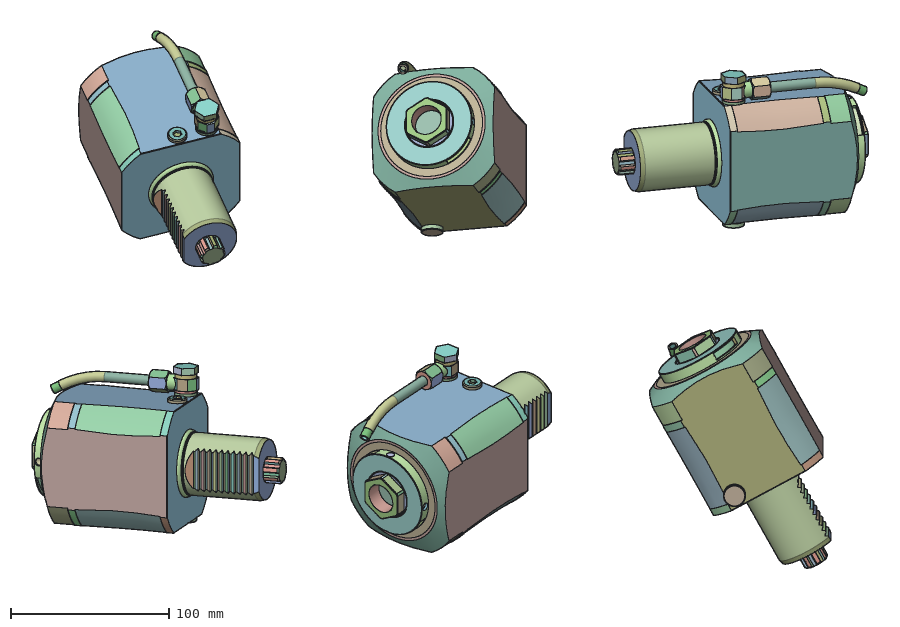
import cadquery as cq
import math


HOUSING_LENGTH = 86.4
HOUSING_WIDTH = 79.0
REAR_EDGE_CHAMFER = 0.4
NOSE_FACE_RADIUS = 35.0
NOSE_CONE_DEPTH = 6.2
FRONT_CORNER_RADIUS = 47.0
BAND_CORNER_RADIUS = 47.6
WAIST_END_RADIUS = 47.3
WAIST_MID_RADIUS = 46.6
FRONT_BAND_START = -66.6
FRONT_BAND_END = -61.7
REAR_BAND_START = -4.9

SHANK_RADIUS = 20.0
SHANK_END = 53.0
SHANK_CHAMFER_LENGTH = 3.0
SHANK_CHAMFER_ANGLE = 15.0
SHANK_CHAMFER_HEIGHT = SHANK_CHAMFER_LENGTH * math.tan(math.radians(SHANK_CHAMFER_ANGLE))
NECK_RADIUS = 19.4
NECK_END = 3.2
SHANK_START = 3.9
SEAL_WIDTH = 2.5
SEAL_RADIUS = 21.6
SEAL_MID_X = 1.5
SEAL_MID_RADIUS = 21.3
SEAL_END_RADIUS = 20.2

FLAT_DISTANCE = 15.9
RUNOUT_START = 5.1
FLAT_START = RUNOUT_START + SHANK_RADIUS - FLAT_DISTANCE
TOOTH_PITCH = 4.0
TOOTH_COUNT = 10
FIRST_TOOTH_X = 11.9
TOOTH_DEPTH = 1.5

TOP_PLUG_X = -7.0
TOP_PLUG_RADIUS = 6.1
TOP_PLUG_HEIGHT = 2.5
TOP_PLUG_CHAMFER = 0.7
TOP_PLUG_SOCKET = 5.0
TOP_PLUG_SOCKET_DEPTH = 2.0
PORT_X = -8.2
PORT_Y = 20.0
BOTTOM_PLUG_RADIUS = 7.0
BOTTOM_PLUG_HEIGHT = 3.0
BOTTOM_PLUG_CHAMFER = 0.5

COVER_RADIUS = 33.2
COVER_THICKNESS = 6.0
RING_RADIUS = 28.0
RING_WIDTH = 6.8
RING_CHAMFER = 0.4
RING_RECESS_RADIUS = 16.0
RING_RECESS_DEPTH = 1.0
RING_MID_X = -HOUSING_LENGTH - RING_WIDTH / 2
RING_FRONT_X = -HOUSING_LENGTH - RING_WIDTH
WRENCH_HOLE_RADIUS = 2.5
WRENCH_HOLE_DEPTH = 2.0
WRENCH_HOLE_TIP_DEPTH = 1.5
SPOT_DEPTH = 0.3
RING_SLOT_WIDTH = 4.7
RING_SLOT_FLOOR_RADIUS = 26.0
RING_SLOT_SPAN = 44.0
RING_SLOT_ANGLES = (-45, 135)
HEX_ACROSS_FLATS = 26.8
HEX_CORNER_RADIUS = 15.0
HEX_LENGTH = 6.4
HEX_CHAMFER = 0.5
NOSE_COLLAR_DEPTH = 0.3
NOSE_COLLAR_RADIUS = 15.4
NOSE_BORE_RADIUS = 9.6
NOSE_BORE_DEPTH = 10.0
SPLINE_RADIUS = 8.3
SPLINE_ROOT_RADIUS = 6.9
SPLINE_LENGTH = 10.4
SPLINE_END = SHANK_END + SPLINE_LENGTH
SPLINE_CHAMFER = 1.0
SPLINE_COUNT = 8
SPLINE_GAP_WIDTH = 4.2
SPLINE_ROOT_WIDTH = 2.0
SPLINE_FIRST_GAP = 9.5

WASHER_RADIUS = 7.2
WASHER_HEIGHT = 1.8
COLLAR_RADIUS = 6.9
COLLAR_BOTTOM_Z = HOUSING_WIDTH / 2 + WASHER_HEIGHT
BANJO_CENTER_Z = 46.8
BANJO_LENGTH = 16.0
BANJO_WIDTH = 14.0
BANJO_HEIGHT = 7.8
BANJO_CHAMFER = 4.6
BOLT_HEAD_BOTTOM_Z = 53.4
BOLT_HEAD_TOP_Z = 57.9
BOLT_HEAD_ACROSS_FLATS = 14.0
STUB_RADIUS = 5.2
NUT_ACROSS_FLATS = 12.5
NUT_CHAMFER = 1.0
NUT_FRONT_X = -31.2
NUT_REAR_X = -19.3
TUBE_RADIUS = 3.3
TUBE_BEND_X = -61.7
TUBE_BEND_RADIUS = 58.0
TUBE_BEND_ANGLE = 30.0
TUBE_TILT = 20.0
TIP_RADIUS = 3.1
TIP_LENGTH = 5.8
TIP_BORE_RADIUS = 2.0
TIP_BORE_DEPTH = 8.0


def x_cylinder(radius, start, end):
    """Cylinder on the spindle axis between two x positions."""
    return cq.Workplane("YZ", origin=(start, 0, 0)).circle(radius).extrude(end - start)


def corner_diameter_of(across_flats):
    """Corner-to-corner size of a hexagon."""
    return across_flats / math.cos(math.pi / 6)


def turned(outline):
    """Revolve a closed X-Y outline about the spindle axis."""
    return outline.close().revolve(360, (0, 0, 0), (1, 0, 0))


def build_block():
    """Square block with turned corners and a conical nose."""
    block = cq.Workplane("XY").box(HOUSING_LENGTH, HOUSING_WIDTH, HOUSING_WIDTH)
    block = block.translate((-HOUSING_LENGTH / 2, 0, 0)).faces(">X").chamfer(REAR_EDGE_CHAMFER)
    waist_mid = ((FRONT_BAND_END + REAR_BAND_START) / 2, WAIST_MID_RADIUS)
    envelope = turned(
        cq.Workplane("XY")
        .moveTo(-HOUSING_LENGTH, 0)
        .lineTo(-HOUSING_LENGTH, NOSE_FACE_RADIUS)
        .lineTo(NOSE_CONE_DEPTH - HOUSING_LENGTH, FRONT_CORNER_RADIUS)
        .lineTo(FRONT_BAND_START, FRONT_CORNER_RADIUS)
        .lineTo(FRONT_BAND_START, BAND_CORNER_RADIUS)
        .lineTo(FRONT_BAND_END, BAND_CORNER_RADIUS)
        .lineTo(FRONT_BAND_END, WAIST_END_RADIUS)
        .threePointArc(waist_mid, (REAR_BAND_START, WAIST_END_RADIUS))
        .lineTo(REAR_BAND_START, BAND_CORNER_RADIUS)
        .lineTo(0, BAND_CORNER_RADIUS)
        .lineTo(0, 0)
    )
    return block.intersect(envelope)


def build_shank():
    """Round shank with a seal at its root and a toothed flat on the -Y side."""
    shank = turned(
        cq.Workplane("XY")
        .moveTo(0, 0)
        .lineTo(0, NECK_RADIUS)
        .lineTo(NECK_END, NECK_RADIUS)
        .lineTo(SHANK_START, SHANK_RADIUS)
        .lineTo(SHANK_END - SHANK_CHAMFER_LENGTH, SHANK_RADIUS)
        .lineTo(SHANK_END, SHANK_RADIUS - SHANK_CHAMFER_HEIGHT)
        .lineTo(SHANK_END, 0)
    )
    flat_cut = (
        cq.Workplane("XY")
        .moveTo(RUNOUT_START, -SHANK_RADIUS)
        .lineTo(FLAT_START, -FLAT_DISTANCE)
        .lineTo(SHANK_END, -FLAT_DISTANCE)
        .lineTo(SHANK_END, -SHANK_RADIUS)
        .close()
        .extrude(SHANK_RADIUS, both=True)
    )
    shank = shank.cut(flat_cut)
    for index in range(TOOTH_COUNT):
        groove_x = FIRST_TOOTH_X + index * TOOTH_PITCH
        groove = (
            cq.Workplane("XY")
            .moveTo(groove_x - TOOTH_DEPTH, -FLAT_DISTANCE)
            .lineTo(groove_x, TOOTH_DEPTH - FLAT_DISTANCE)
            .lineTo(groove_x + TOOTH_DEPTH, -FLAT_DISTANCE)
            .close()
            .extrude(SHANK_RADIUS, both=True)
        )
        shank = shank.cut(groove)
    seal = turned(
        cq.Workplane("XY")
        .moveTo(0, 0)
        .lineTo(0, SEAL_RADIUS)
        .threePointArc((SEAL_MID_X, SEAL_MID_RADIUS), (SEAL_WIDTH, SEAL_END_RADIUS))
        .lineTo(SEAL_WIDTH, 0)
    )
    return shank.union(seal)


def build_top_plug():
    """Screw plug with a hexagon socket on the top face."""
    plug = (
        cq.Workplane("XY", origin=(TOP_PLUG_X, 0, HOUSING_WIDTH / 2))
        .circle(TOP_PLUG_RADIUS)
        .extrude(TOP_PLUG_HEIGHT)
    )
    plug = plug.faces(">Z").chamfer(TOP_PLUG_CHAMFER)
    socket = plug.faces(">Z").workplane().polygon(6, corner_diameter_of(TOP_PLUG_SOCKET))
    return socket.cutBlind(-TOP_PLUG_SOCKET_DEPTH)


def build_bottom_plug():
    """Round plug that closes the lower coolant port."""
    plug = (
        cq.Workplane("XY", origin=(PORT_X, PORT_Y, -HOUSING_WIDTH / 2))
        .circle(BOTTOM_PLUG_RADIUS)
        .extrude(-BOTTOM_PLUG_HEIGHT)
    )
    return plug.faces("<Z").chamfer(BOTTOM_PLUG_CHAMFER)


def build_housing():
    housing = build_block().union(build_shank()).union(build_top_plug()).union(build_bottom_plug())
    cover_seat = x_cylinder(COVER_RADIUS, -HOUSING_LENGTH, COVER_THICKNESS - HOUSING_LENGTH)
    spindle_bore = x_cylinder(SPLINE_RADIUS, -HOUSING_LENGTH, SHANK_END)
    return housing.cut(cover_seat).cut(spindle_bore)


def build_ring():
    """Nut ring with a wrench hole, a flat spot and two curved slots in its rim."""
    ring = x_cylinder(RING_RADIUS, RING_FRONT_X, -HOUSING_LENGTH).faces("<X").chamfer(RING_CHAMFER)
    recess = x_cylinder(RING_RECESS_RADIUS, RING_FRONT_X, RING_FRONT_X + RING_RECESS_DEPTH)
    ring = ring.cut(recess)
    tip_z = RING_RADIUS - WRENCH_HOLE_DEPTH - WRENCH_HOLE_TIP_DEPTH
    wrench_hole = (
        cq.Workplane("XZ", origin=(RING_MID_X, 0, 0))
        .moveTo(0, tip_z)
        .lineTo(WRENCH_HOLE_RADIUS, RING_RADIUS - WRENCH_HOLE_DEPTH)
        .lineTo(WRENCH_HOLE_RADIUS, RING_RADIUS)
        .lineTo(0, RING_RADIUS)
        .close()
        .revolve(360, (0, 0, 0), (0, 1, 0))
    )
    spot = (
        cq.Workplane("XY", origin=(RING_MID_X, 0, RING_RADIUS - SPOT_DEPTH))
        .circle(WRENCH_HOLE_RADIUS)
        .extrude(SPOT_DEPTH)
    )
    slot = (
        cq.Workplane("XZ", origin=(RING_MID_X, 0, 0))
        .moveTo(-RING_SLOT_WIDTH / 2, RING_SLOT_FLOOR_RADIUS)
        .lineTo(RING_SLOT_WIDTH / 2, RING_SLOT_FLOOR_RADIUS)
        .lineTo(RING_SLOT_WIDTH / 2, RING_RADIUS)
        .lineTo(-RING_SLOT_WIDTH / 2, RING_RADIUS)
        .close()
        .revolve(RING_SLOT_SPAN, (0, 0, 0), (1, 0, 0))
    )
    ring = ring.cut(wrench_hole.rotate((0, 0, 0), (1, 0, 0), 90)).cut(spot)
    for angle in RING_SLOT_ANGLES:
        ring = ring.cut(slot.rotate((0, 0, 0), (1, 0, 0), angle - RING_SLOT_SPAN / 2))
    return ring


def build_spline():
    """Splined drive end behind the shank."""
    spline = x_cylinder(SPLINE_RADIUS, SHANK_END, SPLINE_END).faces(">X").chamfer(SPLINE_CHAMFER)
    gap = (
        cq.Workplane("YZ", origin=(SHANK_END, 0, 0))
        .moveTo(-SPLINE_ROOT_WIDTH / 2, SPLINE_ROOT_RADIUS)
        .lineTo(SPLINE_ROOT_WIDTH / 2, SPLINE_ROOT_RADIUS)
        .lineTo(SPLINE_GAP_WIDTH / 2, SPLINE_RADIUS)
        .lineTo(-SPLINE_GAP_WIDTH / 2, SPLINE_RADIUS)
        .close()
        .extrude(SPLINE_LENGTH)
    )
    for index in range(SPLINE_COUNT):
        gap_angle = SPLINE_FIRST_GAP + index * 360 / SPLINE_COUNT
        spline = spline.cut(gap.rotate((0, 0, 0), (1, 0, 0), gap_angle))
    return spline


def build_spindle():
    """Cover, nut ring, hexagon nose, shaft and splined end, joined along the spindle axis."""
    cover = x_cylinder(COVER_RADIUS, -HOUSING_LENGTH, COVER_THICKNESS - HOUSING_LENGTH)
    shaft = x_cylinder(SPLINE_RADIUS, -HOUSING_LENGTH, SHANK_END)
    nose_front_x = RING_FRONT_X - HEX_LENGTH
    nose_rear_x = RING_FRONT_X + RING_RECESS_DEPTH
    nose = (
        cq.Workplane("YZ", origin=(nose_front_x, 0, 0))
        .polygon(6, corner_diameter_of(HEX_ACROSS_FLATS))
        .extrude(nose_rear_x - nose_front_x)
        .rotate((0, 0, 0), (1, 0, 0), 90)
        .intersect(x_cylinder(HEX_CORNER_RADIUS, nose_front_x, nose_rear_x))
        .faces("<X")
        .chamfer(HEX_CHAMFER)
    )
    collar = x_cylinder(NOSE_COLLAR_RADIUS, RING_FRONT_X + NOSE_COLLAR_DEPTH, nose_rear_x)
    spindle = cover.union(build_ring()).union(collar).union(nose).union(shaft).union(build_spline())
    return spindle.cut(x_cylinder(NOSE_BORE_RADIUS, nose_front_x, nose_front_x + NOSE_BORE_DEPTH))


def build_banjo():
    """Banjo fitting with its washer, collar and hexagon bolt head."""
    port = cq.Workplane("XY", origin=(PORT_X, PORT_Y, 0))
    washer = port.workplane(offset=HOUSING_WIDTH / 2).circle(WASHER_RADIUS).extrude(WASHER_HEIGHT)
    collar = (
        port.workplane(offset=COLLAR_BOTTOM_Z)
        .circle(COLLAR_RADIUS)
        .extrude(BOLT_HEAD_BOTTOM_Z - COLLAR_BOTTOM_Z)
    )
    block = cq.Workplane("XY").box(BANJO_LENGTH, BANJO_WIDTH, BANJO_HEIGHT)
    block = block.edges("|Z").chamfer(BANJO_CHAMFER).translate((PORT_X, PORT_Y, BANJO_CENTER_Z))
    head = (
        cq.Workplane("XY")
        .polygon(6, corner_diameter_of(BOLT_HEAD_ACROSS_FLATS))
        .extrude(BOLT_HEAD_TOP_Z - BOLT_HEAD_BOTTOM_Z)
        .rotate((0, 0, 0), (0, 0, 1), 90)
        .translate((PORT_X, PORT_Y, BOLT_HEAD_BOTTOM_Z))
    )
    return washer.union(collar).union(block).union(head)


def build_union_nut():
    """Hexagon nut with turned corners, and the stub that joins it to the banjo."""
    corner_diameter = corner_diameter_of(NUT_ACROSS_FLATS)
    length = NUT_REAR_X - NUT_FRONT_X
    corner_turning = cq.Workplane("YZ").circle(corner_diameter / 2).extrude(length)
    corner_turning = corner_turning.edges().chamfer(NUT_CHAMFER)
    nut = (
        cq.Workplane("YZ")
        .polygon(6, corner_diameter)
        .extrude(length)
        .rotate((0, 0, 0), (1, 0, 0), 90)
        .intersect(corner_turning)
    )
    stub = cq.Workplane("YZ").circle(STUB_RADIUS).extrude(PORT_X - NUT_FRONT_X)
    return nut.union(stub).translate((NUT_FRONT_X, PORT_Y, BANJO_CENTER_Z))


def build_tube():
    """Tube that leaves the nut straight, then bends down to a bored tip."""
    bend_start = TUBE_BEND_X - NUT_FRONT_X
    bend_angle = math.radians(TUBE_BEND_ANGLE)

    def bend_point(angle):
        return (
            bend_start - TUBE_BEND_RADIUS * math.sin(angle),
            TUBE_BEND_RADIUS * (math.cos(angle) - 1),
        )

    bend_end = bend_point(bend_angle)
    path = (
        cq.Workplane("XZ")
        .lineTo(bend_start, 0)
        .threePointArc(bend_point(bend_angle / 2), bend_end)
    )
    tube = cq.Workplane("YZ").circle(TUBE_RADIUS).sweep(path)
    tip_plane = cq.Plane(
        origin=(bend_end[0], 0, bend_end[1]),
        xDir=(0, 1, 0),
        normal=(-math.cos(bend_angle), 0, -math.sin(bend_angle)),
    )
    tip = cq.Workplane(tip_plane).circle(TIP_RADIUS).extrude(TIP_LENGTH)
    tip_bore = (
        cq.Workplane(tip_plane)
        .workplane(offset=TIP_LENGTH - TIP_BORE_DEPTH)
        .circle(TIP_BORE_RADIUS)
        .extrude(TIP_BORE_DEPTH)
    )
    tube = tube.union(tip).cut(tip_bore)
    tube = tube.rotate((0, 0, 0), (1, 0, 0), -TUBE_TILT)
    return tube.translate((NUT_FRONT_X, PORT_Y, BANJO_CENTER_Z))


def build_coolant_line():
    return build_banjo().union(build_union_nut()).union(build_tube())


housing = build_housing()
spindle = build_spindle()
coolant_line = build_coolant_line()

result = cq.Compound.makeCompound([housing.val(), spindle.val(), coolant_line.val()])